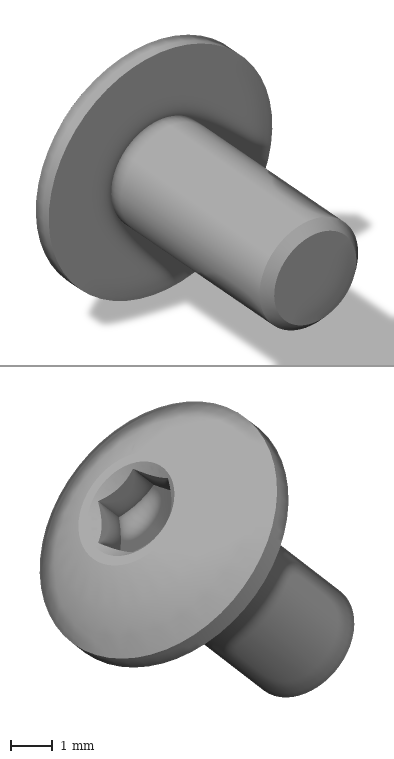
import cadquery as cq
import math

shank_diameter = 3.0
shank_length = 6.0
tip_chamfer = 0.25

head_diameter = 6.8
head_height = 1.7
rim_thickness = 0.5
face_diameter = 3.0
dome_radius = 5.0

hex_across_flats = 2.0
hex_corner_depth = 1.0
drill_point_angle = 120.0
countersink_diameter = 2.5
countersink_angle = 90.0

shank_radius = shank_diameter / 2
head_radius = head_diameter / 2
face_radius = face_diameter / 2
face_x = -head_height
hex_corner_radius = hex_across_flats / math.sqrt(3)


def cone_height(radius, included_angle):
    """Height of a cone from its base radius to its apex."""
    return radius / math.tan(math.radians(included_angle / 2))


def cone(base_x, radius, included_angle):
    """Solid cone on the X axis with its apex pointing toward +X."""
    height = cone_height(radius, included_angle)
    return cq.Workplane(
        cq.Solid.makeCone(radius, 0, height, pnt=cq.Vector(base_x, 0, 0), dir=cq.Vector(1, 0, 0))
    )


def make_body():
    """Domed head and chamfered shank, revolved about the X axis."""
    return (
        cq.Workplane("XZ")
        .moveTo(face_x, 0)
        .lineTo(face_x, face_radius)
        .radiusArc((-rim_thickness, head_radius), dome_radius)
        .lineTo(0, head_radius)
        .lineTo(0, shank_radius)
        .lineTo(shank_length - tip_chamfer, shank_radius)
        .lineTo(shank_length, shank_radius - tip_chamfer)
        .lineTo(shank_length, 0)
        .close()
        .revolve(360, (0, 0, 0), (1, 0, 0))
    )


def make_socket():
    """Hexagonal recess with a conical floor and a countersunk mouth."""
    point_height = cone_height(hex_corner_radius, drill_point_angle)
    hexagon = (
        cq.Workplane("YZ", origin=(face_x, 0, 0))
        .polygon(6, 2 * hex_corner_radius)
        .extrude(hex_corner_depth + point_height)
        .rotate((0, 0, 0), (1, 0, 0), 90)
    )
    bore = cq.Workplane("YZ", origin=(face_x, 0, 0)).circle(hex_corner_radius).extrude(hex_corner_depth)
    drilled_hole = bore.union(cone(face_x + hex_corner_depth, hex_corner_radius, drill_point_angle))
    countersink = cone(face_x, countersink_diameter / 2, countersink_angle)
    return hexagon.intersect(drilled_hole).union(countersink)


result = make_body().cut(make_socket())